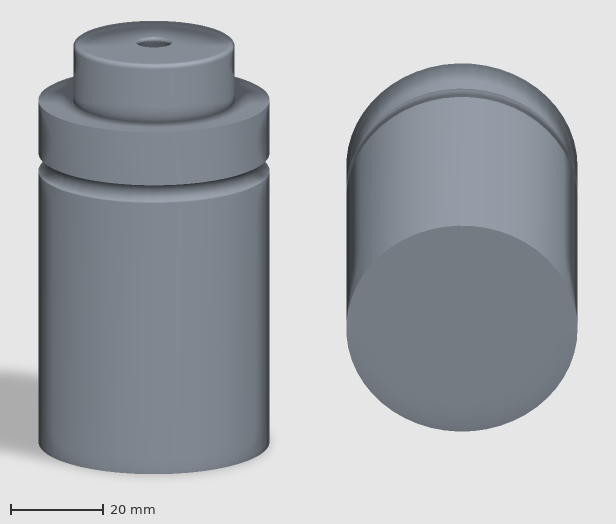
import cadquery as cq
import math

total_height = 90.0
body_radius = 25.0

boss_radius = 17.5
boss_height = 13.0
boss_edge_fillet = 1.0

flange_height = 12.0
groove_radius = 2.0

hole_radius = 3.4
hole_mouth_radius = 4.0
hole_depth = 18.0
drill_point_angle = 118.0

shoulder_z = total_height - boss_height
groove_center_z = shoulder_z - flange_height - groove_radius


def make_stepped_body():
    body = cq.Workplane("XY").circle(body_radius).extrude(shoulder_z)
    boss = cq.Workplane("XY").workplane(offset=shoulder_z).circle(boss_radius).extrude(boss_height)
    boss = boss.faces(">Z").edges().fillet(boss_edge_fillet)
    return body.union(boss)


def make_groove_ring():
    """Torus centred on the body surface, leaving a half-round groove when cut."""
    ring = cq.Solid.makeTorus(body_radius, groove_radius, cq.Vector(0, 0, groove_center_z))
    return cq.Workplane(obj=ring)


def make_drilled_hole():
    """Half section of the hole, revolved about the part axis."""
    chamfer_depth = hole_mouth_radius - hole_radius
    hole_floor_z = total_height - hole_depth
    cone_height = hole_radius / math.tan(math.radians(drill_point_angle / 2))
    section = (
        cq.Workplane("XZ")
        .moveTo(0, total_height)
        .lineTo(hole_mouth_radius, total_height)
        .lineTo(hole_radius, total_height - chamfer_depth)
        .lineTo(hole_radius, hole_floor_z)
        .lineTo(0, hole_floor_z - cone_height)
        .close()
    )
    return section.revolve(360, (0, 0, 0), (0, 1, 0))


result = make_stepped_body().cut(make_groove_ring()).cut(make_drilled_hole())